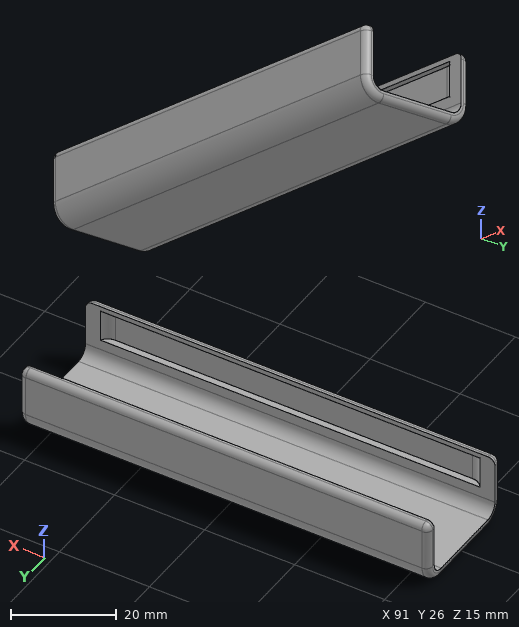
import cadquery as cq

length = 91.0
width = 26.0
height = 15.0
wall = 2.0
bend_radius = 4.55
inner_bend_radius = bend_radius - wall

corner_radius = 1.55
edge_radius = 1.5

pocket_end_margin = 3.0
pocket_top_margin = 1.1
pocket_height = 7.1
pocket_depth = 1.5
pocket_end_radius = 2.8

inner_width = width - 2 * wall
pocket_length = length - 2 * pocket_end_margin
pocket_bottom = height - pocket_top_margin - pocket_height


def block(block_length, block_width, bottom, block_height):
    """Block centred in X and Y, standing on the given height."""
    base = cq.Workplane("XY").workplane(offset=bottom)
    return base.box(block_length, block_width, block_height, centered=(True, True, False))


def rounded_bottom_bar(bar_width, bottom, radius):
    """Full-length bar up to the channel top, with its two lower edges rounded."""
    bar = block(length, bar_width, bottom, height - bottom)
    return bar.edges("|X and <Z").fillet(radius)


def round_outer_rim(channel):
    """Round the wall corners, then the whole outer rim, which follows tangentially."""
    rounded = channel.edges("|Y and >Z").fillet(corner_radius)
    return rounded.faces("<Z").edges("|Y").fillet(edge_radius)


def pocket_cutter():
    """Block reaching into both side walls, with its four upright edges rounded."""
    cutter_width = inner_width + 2 * pocket_depth
    cutter = block(pocket_length, cutter_width, pocket_bottom, pocket_height)
    return cutter.edges("|Z").fillet(pocket_end_radius)


outer_bar = rounded_bottom_bar(width, 0, bend_radius)
inner_bar = rounded_bottom_bar(inner_width, wall, inner_bend_radius)
channel = outer_bar.cut(inner_bar)
result = round_outer_rim(channel).cut(pocket_cutter())